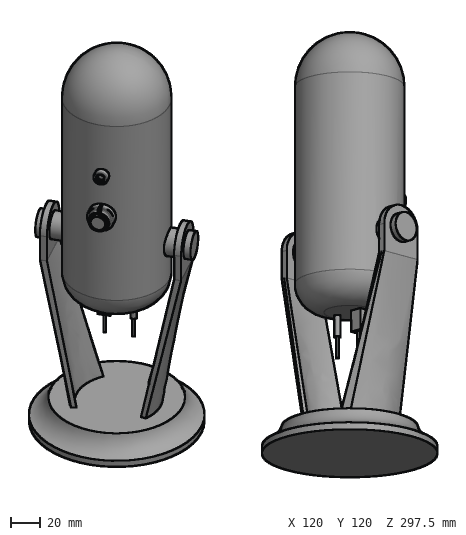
import cadquery as cq
import math

BODY_RADIUS = 37.5
DOME_CENTER_Z = 260.0
BODY_BOTTOM_Z = 100.0
BOTTOM_ROUND = 20.0

PIVOT_Z = 150.0
PIVOT_DIAMETER = 20.0
PIVOT_LENGTH = 110.0

BASE_RADIUS = 60.0
BASE_TOP_RADIUS = 46.6
BASE_RIM_HEIGHT = 5.0
BASE_TOP_Z = 18.75
BASE_FLARE_RADIUS = 20.0

EYE_INNER_X = 45.0
EYE_THICKNESS = 5.0
EYE_RADIUS = 16.0
EYE_BOTTOM_Z = 130.5
EYE_OUTER_X = EYE_INNER_X + EYE_THICKNESS
FOOT_OUTER_ARC = [(26.4, -21.2), (31.7, 2.0), (22.5, 22.1)]
FOOT_REAR_TIP = (17.2, 26.2)
FOOT_INNER_ARC = [(15.9, 23.2), (27.3, 2.0), (22.8, -20.2)]

CONTROL_FACE_Y = 42.0
CONTROL_EDGE_ROUND = 0.5
KNOB_Z = 187.5
KNOB_COLLAR_DIAMETER = 19.0
KNOB_HUB_DIAMETER = 14.5
KNOB_END_Y = 48.0
KNOB_CROWN_DEPTH = 2.0
KNOB_BASE_ROUND = 0.5
POINTER_WIDTH = 1.5
POINTER_CHAMFER = 1.0
BUTTON_Z = 220.0
BUTTON_DIAMETER = 10.0
DIMPLE_SPHERE_RADIUS = 3.0
DIMPLE_DEPTH = 2.0

PLUG_LENGTH = 15.0
LEAD_LENGTH = 15.0
LEAD_DIAMETER = 2.0
USB_X = -8.5
USB_WIDTH = 9.0
USB_DEPTH = 5.0
JACK_X = 12.0
JACK_DIAMETER = 4.47


def rod_along_x(diameter, length):
    """Cylinder on the pivot axis, centred on the YZ plane."""
    return (
        cq.Workplane("YZ", origin=(-length / 2, 0, PIVOT_Z))
        .circle(diameter / 2)
        .extrude(length)
    )


def rod_toward_front(diameter, z, start_y, end_y):
    """Cylinder pointing to -Y, between two distances from the capsule axis."""
    return (
        cq.Workplane("XZ", origin=(0, -start_y, z))
        .circle(diameter / 2)
        .extrude(end_y - start_y)
    )


def make_pivot_pin():
    return rod_along_x(PIVOT_DIAMETER, PIVOT_LENGTH)


def capsule_shape():
    """Solid of revolution: rounded bottom, straight wall, hemispherical dome."""
    flat_radius = BODY_RADIUS - BOTTOM_ROUND
    wall_bottom_z = BODY_BOTTOM_Z + BOTTOM_ROUND
    dome_top_z = DOME_CENTER_Z + BODY_RADIUS
    half = math.sqrt(0.5)
    return (
        cq.Workplane("XZ")
        .moveTo(0, BODY_BOTTOM_Z)
        .lineTo(flat_radius, BODY_BOTTOM_Z)
        .threePointArc(
            (flat_radius + BOTTOM_ROUND * half, wall_bottom_z - BOTTOM_ROUND * half),
            (BODY_RADIUS, wall_bottom_z),
        )
        .lineTo(BODY_RADIUS, DOME_CENTER_Z)
        .threePointArc(
            (BODY_RADIUS * half, DOME_CENTER_Z + BODY_RADIUS * half),
            (0, dome_top_z),
        )
        .close()
        .revolve(360, (0, 0, 0), (0, 1, 0))
    )


def make_capsule():
    """Capsule with the bore that carries the pivot pin."""
    return capsule_shape().cut(make_pivot_pin())


def base_shape():
    """Round base with a vertical rim and a hollow flare up to its flat top."""
    return (
        cq.Workplane("XZ")
        .lineTo(BASE_RADIUS, 0)
        .lineTo(BASE_RADIUS, BASE_RIM_HEIGHT)
        .radiusArc((BASE_TOP_RADIUS, BASE_TOP_Z), BASE_FLARE_RADIUS)
        .lineTo(0, BASE_TOP_Z)
        .close()
        .revolve(360, (0, 0, 0), (0, 1, 0))
    )


def arm_shape():
    """The +X arm: eye plate with a round top, and the leg lofted to its foot."""
    eye = (
        cq.Workplane("YZ", origin=(EYE_INNER_X, 0, 0))
        .moveTo(-EYE_RADIUS, EYE_BOTTOM_Z)
        .lineTo(EYE_RADIUS, EYE_BOTTOM_Z)
        .lineTo(EYE_RADIUS, PIVOT_Z)
        .threePointArc((0, PIVOT_Z + EYE_RADIUS), (-EYE_RADIUS, PIVOT_Z))
        .close()
        .extrude(EYE_THICKNESS)
    )
    leg = (
        cq.Workplane("XY", origin=(0, 0, BASE_TOP_Z))
        .moveTo(*FOOT_OUTER_ARC[0])
        .threePointArc(*FOOT_OUTER_ARC[1:])
        .lineTo(*FOOT_REAR_TIP)
        .lineTo(*FOOT_INNER_ARC[0])
        .threePointArc(*FOOT_INNER_ARC[1:])
        .close()
        .workplane(offset=EYE_BOTTOM_Z - BASE_TOP_Z)
        .moveTo(EYE_OUTER_X, -EYE_RADIUS)
        .lineTo(EYE_OUTER_X, EYE_RADIUS)
        .lineTo(EYE_INNER_X + EYE_THICKNESS / 2, EYE_RADIUS)
        .lineTo(EYE_INNER_X, EYE_RADIUS)
        .lineTo(EYE_INNER_X, -EYE_RADIUS)
        .close()
        .loft(ruled=True)
    )
    return eye.union(leg)


def make_stand():
    """Base and two mirrored arms in one piece, bored for the pivot pin."""
    arm = arm_shape()
    stand = base_shape().union(arm).union(arm.mirror("YZ"))
    return stand.cut(make_pivot_pin())


def make_knob():
    """Turned collar and hub with a two-step chamfered crown, plus a pointer fin on top."""
    collar_radius = KNOB_COLLAR_DIAMETER / 2
    hub_radius = KNOB_HUB_DIAMETER / 2
    crown_start_y = KNOB_END_Y - KNOB_CROWN_DEPTH
    crown_top_radius = hub_radius - KNOB_CROWN_DEPTH
    crown_step = KNOB_CROWN_DEPTH * math.sqrt(0.5)
    turned = (
        cq.Workplane("XY", origin=(0, 0, KNOB_Z))
        .lineTo(collar_radius, 0)
        .lineTo(collar_radius, CONTROL_EDGE_ROUND - CONTROL_FACE_Y)
        .radiusArc((collar_radius - CONTROL_EDGE_ROUND, -CONTROL_FACE_Y), CONTROL_EDGE_ROUND)
        .lineTo(hub_radius + KNOB_BASE_ROUND, -CONTROL_FACE_Y)
        .radiusArc((hub_radius, -CONTROL_FACE_Y - KNOB_BASE_ROUND), -KNOB_BASE_ROUND)
        .lineTo(hub_radius, -crown_start_y)
        .lineTo(crown_top_radius + crown_step, -crown_start_y - crown_step)
        .lineTo(crown_top_radius, -KNOB_END_Y)
        .lineTo(0, -KNOB_END_Y)
        .close()
        .revolve(360, (0, 0, 0), (0, 1, 0))
    )
    fin_end_y = KNOB_END_Y - POINTER_CHAMFER
    pointer = (
        cq.Workplane("YZ", origin=(-POINTER_WIDTH / 2, 0, KNOB_Z))
        .lineTo(-fin_end_y, 0)
        .lineTo(-fin_end_y, collar_radius - POINTER_CHAMFER)
        .lineTo(-fin_end_y + POINTER_CHAMFER, collar_radius)
        .lineTo(0, collar_radius)
        .close()
        .extrude(POINTER_WIDTH)
    )
    return turned.union(pointer).cut(capsule_shape())


def make_button():
    """Disc seated on the capsule wall, with a flat-bottomed spherical dimple."""
    disc = rod_toward_front(BUTTON_DIAMETER, BUTTON_Z, 0, CONTROL_FACE_Y)
    disc = disc.faces("<Y").edges().fillet(CONTROL_EDGE_ROUND)
    sphere = cq.Workplane("XY", origin=(0, -CONTROL_FACE_Y, BUTTON_Z)).sphere(DIMPLE_SPHERE_RADIUS)
    below_floor = rod_toward_front(BUTTON_DIAMETER, BUTTON_Z, 0, CONTROL_FACE_Y - DIMPLE_DEPTH)
    dimple = sphere.cut(below_floor)
    return disc.cut(dimple).cut(capsule_shape())


def add_lead(plug):
    """Thin lead hanging from the centre of a plug's lower end."""
    return (
        plug.faces("<Z")
        .workplane(centerOption="CenterOfMass")
        .circle(LEAD_DIAMETER / 2)
        .extrude(LEAD_LENGTH)
    )


def make_usb_plug():
    plug = (
        cq.Workplane("XY", origin=(USB_X, 0, BODY_BOTTOM_Z))
        .rect(USB_WIDTH, USB_DEPTH)
        .extrude(-PLUG_LENGTH)
    )
    return add_lead(plug)


def make_jack_plug():
    plug = (
        cq.Workplane("XY", origin=(JACK_X, 0, BODY_BOTTOM_Z))
        .circle(JACK_DIAMETER / 2)
        .extrude(-PLUG_LENGTH)
    )
    return add_lead(plug)


stand = make_stand()
capsule = make_capsule()
pivot_pin = make_pivot_pin()
knob = make_knob()
button = make_button()
usb_plug = make_usb_plug()
jack_plug = make_jack_plug()

result = cq.Compound.makeCompound([
    stand.val(),
    capsule.val(),
    pivot_pin.val(),
    knob.val(),
    button.val(),
    usb_plug.val(),
    jack_plug.val(),
])